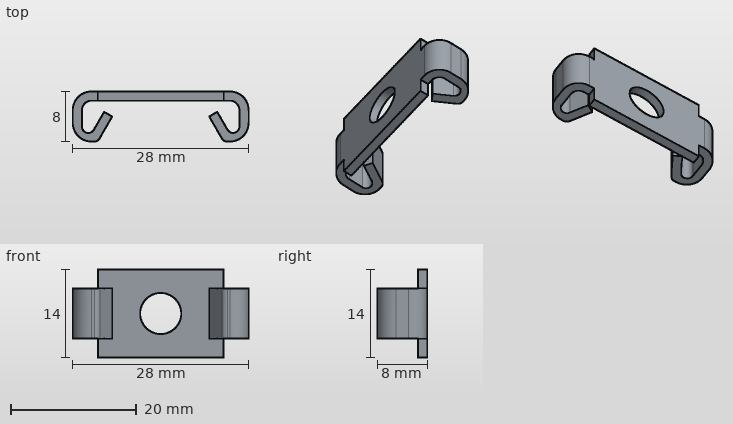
import cadquery as cq
import math

thickness = 1.5
plate_width = 20.0
plate_height = 14.0
hole_diameter = 6.5

overall_width = 28.0
overall_depth = 8.0
arm_height = 8.0
wall_bend_radius = 3.0
back_inner_radius = wall_bend_radius - thickness
hook_inner_radius = 1.0
lip_bend_radius = 1.0
lip_angle_degrees = 60.0
lip_corner_inset = 4.0
lip_reach = overall_depth / 2

side_x = -overall_width / 2
inner_side_x = side_x + thickness
front_y = -overall_depth
plate_edge_x = -plate_width / 2

lip_angle = math.radians(lip_angle_degrees)
lip_direction = cq.Vector(math.cos(lip_angle), math.sin(lip_angle))
lip_normal = cq.Vector(-math.sin(lip_angle), math.cos(lip_angle))
lip_outer_corner = cq.Vector(side_x + lip_corner_inset, front_y)
lip_outer_tip = lip_outer_corner + lip_direction * (lip_reach / math.sin(lip_angle))
lip_inner_tip = lip_outer_tip + lip_normal * thickness

hook_center_x = inner_side_x + hook_inner_radius
hook_axis_start = lip_outer_corner + lip_normal * (thickness + hook_inner_radius)
hook_center_y = hook_axis_start.y + (hook_center_x - hook_axis_start.x) * math.tan(lip_angle)
hook_center = cq.Vector(hook_center_x, hook_center_y)
hook_lip_end = hook_center - lip_normal * hook_inner_radius
hook_bottom = hook_center - cq.Vector(0, hook_inner_radius)
hook_wall_end = hook_center - cq.Vector(hook_inner_radius, 0)


def make_plate():
    """Flat plate with a central through hole."""
    plate = cq.Workplane("XZ").rect(plate_width, plate_height).extrude(thickness)
    hole = cq.Workplane("XZ").circle(hole_diameter / 2).extrude(thickness)
    return plate.cut(hole)


def round_corner(arm, x, y, radius):
    """Round the vertical edge of the arm that stands at the given X and Y."""
    return arm.edges(cq.selectors.NearestToPointSelector((x, y, 0))).fillet(radius)


def make_left_arm():
    """Strip bent back into a hook, with a lip slanting toward the plate."""
    arm = (
        cq.Workplane("XY")
        .moveTo(plate_edge_x, 0)
        .lineTo(side_x, 0)
        .lineTo(side_x, front_y)
        .lineTo(lip_outer_corner.x, lip_outer_corner.y)
        .lineTo(lip_outer_tip.x, lip_outer_tip.y)
        .lineTo(lip_inner_tip.x, lip_inner_tip.y)
        .lineTo(hook_lip_end.x, hook_lip_end.y)
        .threePointArc(hook_bottom.toTuple()[:2], hook_wall_end.toTuple()[:2])
        .lineTo(inner_side_x, -thickness)
        .lineTo(plate_edge_x, -thickness)
        .close()
        .extrude(arm_height / 2, both=True)
    )
    arm = round_corner(arm, side_x, 0, wall_bend_radius)
    arm = round_corner(arm, side_x, front_y, wall_bend_radius)
    arm = round_corner(arm, lip_outer_corner.x, lip_outer_corner.y, lip_bend_radius)
    return round_corner(arm, inner_side_x, -thickness, back_inner_radius)


left_arm = make_left_arm()
right_arm = left_arm.mirror("YZ")
result = make_plate().union(left_arm).union(right_arm)